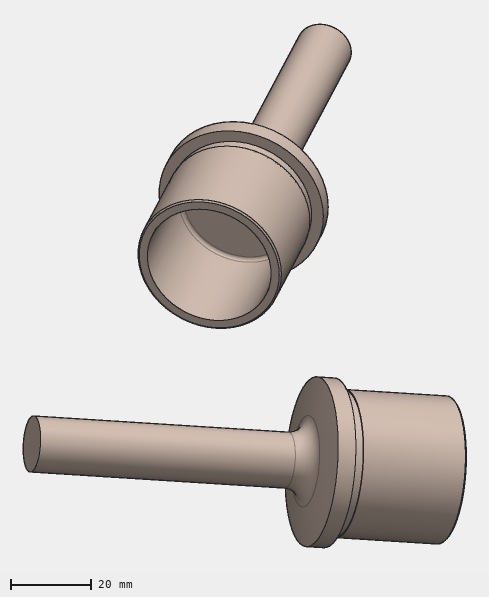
import cadquery as cq
import math

total_length = 108.0

sleeve_radius = 37.0 / 2
sleeve_chamfer = 0.4
groove_width = 2.9
groove_depth = 0.3

flange_radius = 42.4 / 2
flange_underside = 30.0
flange_rim_thickness = 4.6
dome_radius = 100.0

pin_radius = 14.0 / 2
neck_fillet = 5.0

bore_radius = 32.0 / 2
bore_depth = flange_underside
bore_floor_fillet = 1.0

rim_top = flange_underside + flange_rim_thickness
dome_center = rim_top - math.sqrt(dome_radius**2 - flange_radius**2)

neck_center_radius = pin_radius + neck_fillet
neck_center_distance = dome_radius + neck_fillet
neck_center = dome_center + math.sqrt(neck_center_distance**2 - neck_center_radius**2)
neck_tilt = math.asin(neck_center_radius / neck_center_distance)


def point_on_arc(center, radius, angle):
    """Point (radial, axial) at an angle measured from the radial direction."""
    return (center[0] + radius * math.cos(angle), center[1] + radius * math.sin(angle))


def outer_body():
    """Solid of revolution bounded by the outside of sleeve, flange, dome and pin."""
    groove_radius = sleeve_radius - groove_depth
    groove_start = flange_underside - groove_width

    dome_axis_angle = math.pi / 2
    rim_angle = math.acos(flange_radius / dome_radius)
    dome_end_angle = dome_axis_angle - neck_tilt
    dome_mid = point_on_arc((0, dome_center), dome_radius, (rim_angle + dome_end_angle) / 2)
    dome_end = point_on_arc((0, dome_center), dome_radius, dome_end_angle)

    neck_start_angle = dome_end_angle + math.pi
    neck_mid_angle = (neck_start_angle + math.pi) / 2
    neck_mid = point_on_arc((neck_center_radius, neck_center), neck_fillet, neck_mid_angle)

    return (
        cq.Workplane("XY")
        .moveTo(0, 0)
        .lineTo(sleeve_radius - sleeve_chamfer, 0)
        .lineTo(sleeve_radius, sleeve_chamfer)
        .lineTo(sleeve_radius, groove_start)
        .lineTo(groove_radius, groove_start)
        .lineTo(groove_radius, flange_underside)
        .lineTo(flange_radius, flange_underside)
        .lineTo(flange_radius, rim_top)
        .threePointArc(dome_mid, dome_end)
        .threePointArc(neck_mid, (pin_radius, neck_center))
        .lineTo(pin_radius, total_length)
        .lineTo(0, total_length)
        .close()
        .revolve(360, (0, 0, 0), (0, 1, 0))
    )


def bore():
    """Blind bore in the sleeve, rounded where its wall meets the floor."""
    return (
        cq.Workplane("XZ")
        .circle(bore_radius)
        .extrude(-bore_depth)
        .faces(">Y")
        .edges()
        .fillet(bore_floor_fillet)
    )


result = outer_body().cut(bore())